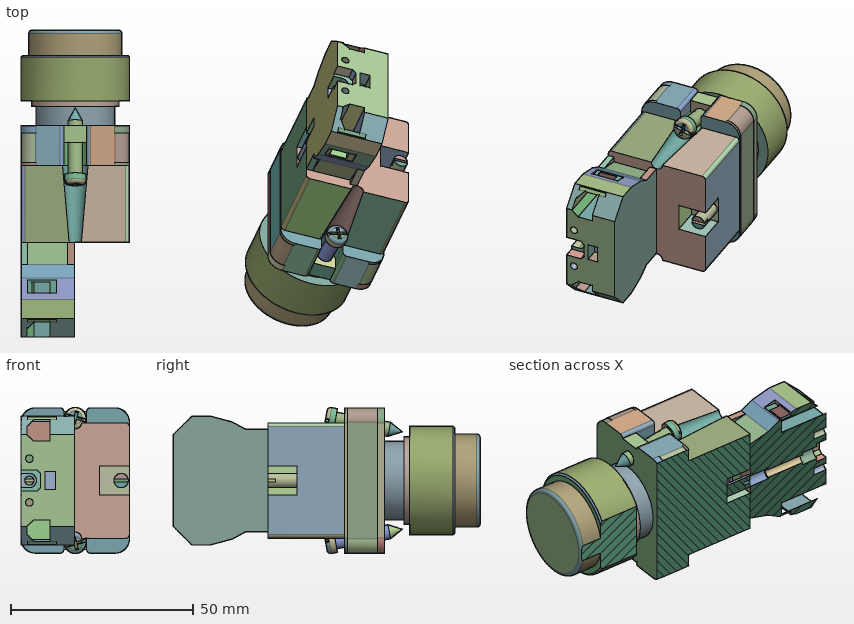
import cadquery as cq
import math


CAP_RADIUS = 12.82
CAP_END_Y = 26.25
CAP_EDGE_RADIUS = 1.0
BEZEL_RADIUS = 14.955
BEZEL_FRONT_Y = 6.82
BEZEL_REAR_Y = 19.3
BEZEL_CHAMFER = 0.5
GASKET_RADIUS = 12.03
GASKET_FRONT_Y = 5.25
NECK_RADIUS = 10.85

HALF_WIDTH = BEZEL_RADIUS
FLANGE_HALF_HEIGHT = 19.97
FLANGE_DEPTH = 10.97
FLANGE_CORNER_RADIUS = 4.24
WAIST_HALF_WIDTH = 14.88
WAIST_CORNER_RADIUS = 3.9
WAIST_REAR_Y = -2.03
WAIST_FRONT_Y = -10.17
HOUSING_HALF_WIDTH = 14.87
BASE_HALF_HEIGHT = 15.85
BASE_FRONT_Y = -32.03
BASE_EDGE_RADIUS = 1.05
NOTCH_WIDTH = 6.3
NOTCH_EDGE_RADIUS = 1.0
STEP_TOP_Z = 19.0
STEP_DEPTH = 4.58
GROOVE_RADIUS_AT_FLANGE = 3.5
GROOVE_RADIUS_AT_FRONT = 1.7
POCKET_HEIGHT = 7.9
POCKET_DEPTH = 7.95
POCKET_INNER_X = 6.7

TILT_DEG = 10.6
TIP_Y = 4.9
TIP_Z = 13.37
SHANK_RADIUS = 2.0
TIP_LENGTH = 3.7
HEAD_SEAT = 18.7
HEAD_RADIUS = 3.0
HEAD_LENGTH = 2.75
HEAD_EDGE_RADIUS = 1.1
CROSS_SLOT_WIDTH = 0.8
CROSS_SLOT_LENGTH = 3.6
CROSS_SLOT_DEPTH = 1.6
HEAD_SLOT_DEPTH = 0.9
HEAD_SLOT_ANGLE_DEG = 15.0

TERMINAL_SCREW_X = 12.6
TERMINAL_SCREW_RADIUS = 1.97
DRIVER_SLOT_WIDTH = 0.8
DRIVER_SLOT_DEPTH = 2.1

BLOCK_OUTER_X = -HOUSING_HALF_WIDTH
BLOCK_INNER_X = -0.15
BLOCK_FRONT_Y = -58.05
SHOULDER_Y = -38.18
SHOULDER_Z = 14.1
HIP_Y = -41.85
HIP_Z = 16.1
CREST_REAR_Y = -47.8
CREST_FRONT_Y = -52.9
CREST_Z = 17.7
NOSE_Z = 12.6
RAMP_OUTER_X = -13.1
RAMP_INNER_X = -2.15
RAMP_FLOOR_Z = 12.5
CAVITY_OUTER_X = -13.2
CAVITY_INNER_X = -7.0
CAVITY_BOTTOM_Z = 10.8
CAVITY_TOP_Z = 16.7
CAVITY_REAR_Y = -42.9
CAVITY_CORNER_X = 1.85
CAVITY_BOTTOM_CORNER_Z = 1.65
CAVITY_TOP_CORNER_Z = 1.85
WINDOW_OUTER_X = -13.1
WINDOW_INNER_X = -5.15
WINDOW_REAR_Y = -42.4
WINDOW_FRONT_Y = -46.0
WINDOW_FLOOR_Z = 16.15
LIP_DROP = 0.2
LIP_REACH = 0.08
RECESS_HEIGHT = 5.86
RECESS_INNER_X = -9.5
RECESS_CORNER = 1.0
RECESS_DEPTH = 3.15
CHANNEL_RADIUS = 1.95
CHANNEL_DEPTH = 8.0
DRIVER_HOLE_RADIUS = 1.24
REAR_SLOT_RADIUS = 1.7
TEST_HOLE_RADIUS = 1.03
TEST_HOLE_Z = 6.0
TEST_HOLE_DEPTH = 4.0
LATCH_OUTER_X = -8.3
LATCH_INNER_X = -5.4
LATCH_HEIGHT = 4.85
LATCH_DEPTH = 4.0
TONGUE_LENGTH = 2.88
TONGUE_CHAMFER = 0.3


def box(x0, x1, y0, y1, z0, z1):
    """Box between two opposite corners."""
    return cq.Workplane("XY").box(x1 - x0, y1 - y0, z1 - z0, centered=False).translate((x0, y0, z0))


def rod(radius, x, z, y_front, y_rear):
    """Cylinder along Y."""
    return cq.Workplane("XZ", origin=(x, y_rear, z)).circle(radius).extrude(y_rear - y_front)


def cut_mirrored(body, cutter):
    """Cut the body with the cutter and with its mirror image below Z = 0."""
    return body.cut(cutter).cut(cutter.mirror("XY"))


def make_head():
    cap_corner = CAP_EDGE_RADIUS * (1 - math.sqrt(0.5))
    return (
        cq.Workplane("XY")
        .moveTo(0, 0)
        .lineTo(NECK_RADIUS, 0)
        .lineTo(NECK_RADIUS, GASKET_FRONT_Y)
        .lineTo(GASKET_RADIUS, GASKET_FRONT_Y)
        .lineTo(GASKET_RADIUS, BEZEL_FRONT_Y)
        .lineTo(BEZEL_RADIUS, BEZEL_FRONT_Y)
        .lineTo(BEZEL_RADIUS, BEZEL_REAR_Y - BEZEL_CHAMFER)
        .lineTo(BEZEL_RADIUS - BEZEL_CHAMFER, BEZEL_REAR_Y)
        .lineTo(CAP_RADIUS, BEZEL_REAR_Y)
        .lineTo(CAP_RADIUS, CAP_END_Y - CAP_EDGE_RADIUS)
        .threePointArc(
            (CAP_RADIUS - cap_corner, CAP_END_Y - cap_corner),
            (CAP_RADIUS - CAP_EDGE_RADIUS, CAP_END_Y),
        )
        .lineTo(0, CAP_END_Y)
        .close()
        .revolve(360, (0, 0, 0), (0, 1, 0))
    )


def place_tilted(shape):
    """Move a shape drawn tip-first along +Y from the origin onto the upper screw axis."""
    return shape.rotate((0, 0, 0), (1, 0, 0), -TILT_DEG).translate((0, TIP_Y, TIP_Z))


def make_tilted_screw():
    """Upper mounting screw, leaning so that its head rises away from the axis of the head."""
    head_end = HEAD_SEAT + HEAD_LENGTH
    corner = HEAD_EDGE_RADIUS * (1 - math.sqrt(0.5))
    body = (
        cq.Workplane("XY")
        .moveTo(0, 0)
        .lineTo(SHANK_RADIUS, -TIP_LENGTH)
        .lineTo(SHANK_RADIUS, -HEAD_SEAT)
        .lineTo(HEAD_RADIUS, -HEAD_SEAT)
        .lineTo(HEAD_RADIUS, -(head_end - HEAD_EDGE_RADIUS))
        .threePointArc((HEAD_RADIUS - corner, corner - head_end), (HEAD_RADIUS - HEAD_EDGE_RADIUS, -head_end))
        .lineTo(0, -head_end)
        .close()
        .revolve(360, (0, 0, 0), (0, 1, 0))
    )
    half_length = CROSS_SLOT_LENGTH / 2
    half_width = CROSS_SLOT_WIDTH / 2
    cuts = (
        (HEAD_RADIUS, half_width, HEAD_SLOT_DEPTH),
        (half_length, half_width, CROSS_SLOT_DEPTH),
        (half_width, half_length, CROSS_SLOT_DEPTH),
    )
    for half_x, half_z, depth in cuts:
        cutter = box(-half_x, half_x, -head_end, depth - head_end, -half_z, half_z)
        body = body.cut(cutter.rotate((0, 0, 0), (0, 1, 0), HEAD_SLOT_ANGLE_DEG))
    return place_tilted(body)


def make_terminal_screw(side):
    """Slotted screw standing in a side pocket of the base; side is -1 or +1."""
    x = side * TERMINAL_SCREW_X
    screw = rod(TERMINAL_SCREW_RADIUS, x, 0, BASE_FRONT_Y, BASE_FRONT_Y + POCKET_DEPTH)
    half_slot = DRIVER_SLOT_WIDTH / 2
    slot = box(
        x - TERMINAL_SCREW_RADIUS,
        x + TERMINAL_SCREW_RADIUS,
        BASE_FRONT_Y,
        BASE_FRONT_Y + DRIVER_SLOT_DEPTH,
        -half_slot,
        half_slot,
    )
    return screw.cut(slot)


def flange_layer(y_rear, y_front, half_width, corner_radius):
    layer = box(-half_width, half_width, y_front, y_rear, -FLANGE_HALF_HEIGHT, FLANGE_HALF_HEIGHT)
    return layer.edges("|Y").fillet(corner_radius)


def make_notch():
    """Opening between the two upper flange ears, flared by rounded ear edges."""
    half = NOTCH_WIDTH / 2
    edge = NOTCH_EDGE_RADIUS
    top = FLANGE_HALF_HEIGHT
    return (
        cq.Workplane("XZ")
        .moveTo(-half, BASE_HALF_HEIGHT)
        .lineTo(half, BASE_HALF_HEIGHT)
        .lineTo(half, top - edge)
        .radiusArc((half + edge, top), edge)
        .lineTo(-half - edge, top)
        .radiusArc((-half, top - edge), edge)
        .close()
        .extrude(FLANGE_DEPTH)
    )


def driver_groove():
    """Conical screwdriver groove along the top of the housing, narrowing to the front."""
    return cq.Workplane(
        cq.Solid.makeCone(
            GROOVE_RADIUS_AT_FLANGE,
            GROOVE_RADIUS_AT_FRONT,
            -FLANGE_DEPTH - BASE_FRONT_Y,
            pnt=cq.Vector(0, -FLANGE_DEPTH, BASE_HALF_HEIGHT),
            dir=cq.Vector(0, -1, 0),
        )
    )


def make_base():
    flange = (
        flange_layer(0, WAIST_REAR_Y, HALF_WIDTH, FLANGE_CORNER_RADIUS)
        .union(flange_layer(WAIST_REAR_Y, WAIST_FRONT_Y, WAIST_HALF_WIDTH, WAIST_CORNER_RADIUS))
        .union(flange_layer(WAIST_FRONT_Y, -FLANGE_DEPTH, HALF_WIDTH, FLANGE_CORNER_RADIUS))
    )
    flange = cut_mirrored(flange, make_notch())

    half_notch = NOTCH_WIDTH / 2
    bridge = box(-half_notch, half_notch, -STEP_DEPTH, 0, BASE_HALF_HEIGHT, STEP_TOP_Z)
    flange = flange.union(bridge).union(bridge.mirror("XY"))

    housing = box(
        -HOUSING_HALF_WIDTH,
        HOUSING_HALF_WIDTH,
        BASE_FRONT_Y,
        -FLANGE_DEPTH,
        -BASE_HALF_HEIGHT,
        BASE_HALF_HEIGHT,
    )
    base = flange.union(housing.edges("|Y").fillet(BASE_EDGE_RADIUS))

    base = cut_mirrored(base, rod(half_notch, 0, BASE_HALF_HEIGHT, -FLANGE_DEPTH, -STEP_DEPTH))
    base = cut_mirrored(base, driver_groove())

    shank_hole = cq.Workplane("XZ").circle(SHANK_RADIUS).extrude(HEAD_SEAT)
    base = cut_mirrored(base, place_tilted(shank_hole))

    half_pocket = POCKET_HEIGHT / 2
    pocket_rear_y = BASE_FRONT_Y + POCKET_DEPTH
    for x0, x1 in ((-HOUSING_HALF_WIDTH, -POCKET_INNER_X), (POCKET_INNER_X, HOUSING_HALF_WIDTH)):
        base = base.cut(box(x0, x1, BASE_FRONT_Y, pocket_rear_y, -half_pocket, half_pocket))
    return base


def side_outline(points):
    """Prism across the block width from (Y, Z) points."""
    return (
        cq.Workplane("YZ", origin=(BLOCK_OUTER_X, 0, 0))
        .polyline(points)
        .close()
        .extrude(BLOCK_INNER_X - BLOCK_OUTER_X)
    )


def block_blank():
    upper = [
        (BASE_FRONT_Y, SHOULDER_Z),
        (SHOULDER_Y, SHOULDER_Z),
        (HIP_Y, HIP_Z),
        (CREST_REAR_Y, CREST_Z),
        (CREST_FRONT_Y, CREST_Z),
        (BLOCK_FRONT_Y, NOSE_Z),
    ]
    lower = [(y, -z) for y, z in reversed(upper)]
    return side_outline(upper + lower)


def ramp_recess():
    """Wedge-shaped recess between the shoulder rails, deepest at the base."""
    return (
        cq.Workplane("YZ", origin=(RAMP_OUTER_X, 0, 0))
        .moveTo(BASE_FRONT_Y, SHOULDER_Z)
        .lineTo(BASE_FRONT_Y, RAMP_FLOOR_Z)
        .lineTo(SHOULDER_Y, SHOULDER_Z)
        .close()
        .extrude(RAMP_INNER_X - RAMP_OUTER_X)
    )


def wire_cavity():
    """Terminal opening from the nose back to below the window."""
    outline = [
        (CAVITY_INNER_X, CAVITY_BOTTOM_Z),
        (CAVITY_INNER_X, CAVITY_TOP_Z),
        (CAVITY_OUTER_X + CAVITY_CORNER_X, CAVITY_TOP_Z),
        (CAVITY_OUTER_X, CAVITY_TOP_Z - CAVITY_TOP_CORNER_Z),
        (CAVITY_OUTER_X, CAVITY_BOTTOM_Z + CAVITY_BOTTOM_CORNER_Z),
        (CAVITY_OUTER_X + CAVITY_CORNER_X, CAVITY_BOTTOM_Z),
    ]
    return (
        cq.Workplane("XZ", origin=(0, CAVITY_REAR_Y, 0))
        .polyline(outline)
        .close()
        .extrude(CAVITY_REAR_Y - BLOCK_FRONT_Y)
    )


def nose_lip():
    """Thin wedge on the sloped nose above the terminal opening."""
    nose_slope = (CREST_FRONT_Y - BLOCK_FRONT_Y) / (CREST_Z - NOSE_Z)
    top_z = CREST_Z - LIP_DROP
    top_y = CREST_FRONT_Y - nose_slope * LIP_DROP
    bottom_y = CREST_FRONT_Y - nose_slope * (CREST_Z - CAVITY_TOP_Z)
    return (
        cq.Workplane("YZ", origin=(WINDOW_OUTER_X, 0, 0))
        .moveTo(CREST_FRONT_Y, CAVITY_TOP_Z)
        .lineTo(CREST_FRONT_Y, top_z)
        .lineTo(top_y - LIP_REACH, top_z)
        .lineTo(bottom_y, CAVITY_TOP_Z)
        .close()
        .extrude(WINDOW_INNER_X - WINDOW_OUTER_X)
    )


def round_slot(radius, y_front, y_rear):
    """Slot from the outer side to the terminal screw axis, with a round bottom."""
    straight = box(BLOCK_OUTER_X, -TERMINAL_SCREW_X, y_front, y_rear, -radius, radius)
    return straight.union(rod(radius, -TERMINAL_SCREW_X, 0, y_front, y_rear))


def make_block():
    block = cut_mirrored(block_blank(), ramp_recess())
    block = block.cut(box(BLOCK_OUTER_X, RAMP_OUTER_X, SHOULDER_Y, BASE_FRONT_Y, -SHOULDER_Z, -RAMP_FLOOR_Z))

    lip = nose_lip()
    block = block.union(lip).union(lip.mirror("XY"))
    block = cut_mirrored(block, wire_cavity())
    window = box(WINDOW_OUTER_X, WINDOW_INNER_X, WINDOW_FRONT_Y, WINDOW_REAR_Y, WINDOW_FLOOR_Z, CREST_Z)
    block = cut_mirrored(block, window)

    recess_rear_y = BLOCK_FRONT_Y + RECESS_DEPTH
    half_recess = RECESS_HEIGHT / 2
    recess = box(BLOCK_OUTER_X, RECESS_INNER_X, BLOCK_FRONT_Y, recess_rear_y, -half_recess, half_recess)
    block = block.cut(recess.edges("|Y and >X").chamfer(RECESS_CORNER))
    block = block.cut(round_slot(CHANNEL_RADIUS, BLOCK_FRONT_Y, BLOCK_FRONT_Y + CHANNEL_DEPTH))
    block = block.cut(round_slot(REAR_SLOT_RADIUS, SHOULDER_Y, BASE_FRONT_Y))
    block = block.cut(rod(DRIVER_HOLE_RADIUS, -TERMINAL_SCREW_X, 0, BLOCK_FRONT_Y, BASE_FRONT_Y))

    test_hole_rear_y = BLOCK_FRONT_Y + TEST_HOLE_DEPTH
    test_hole = rod(TEST_HOLE_RADIUS, -TERMINAL_SCREW_X, TEST_HOLE_Z, BLOCK_FRONT_Y, test_hole_rear_y)
    block = cut_mirrored(block, test_hole)

    half_latch = LATCH_HEIGHT / 2
    latch_rear_y = BLOCK_FRONT_Y + LATCH_DEPTH
    block = block.cut(box(LATCH_OUTER_X, LATCH_INNER_X, BLOCK_FRONT_Y, latch_rear_y, -half_latch, half_latch))

    tongue_end_y = BASE_FRONT_Y + TONGUE_LENGTH
    tongue = box(LATCH_OUTER_X, -POCKET_INNER_X, BASE_FRONT_Y, tongue_end_y, -half_latch, half_latch)
    return block.union(tongue.edges("|X and >Y").chamfer(TONGUE_CHAMFER))


head = make_head()
base = make_base()
block = make_block()
upper_screw = make_tilted_screw()
tilted_screws = [upper_screw, upper_screw.mirror("XY")]
terminal_screws = [make_terminal_screw(side) for side in (-1, 1)]

result = cq.Compound.makeCompound(
    [part.val() for part in [head, base, block, *tilted_screws, *terminal_screws]]
)